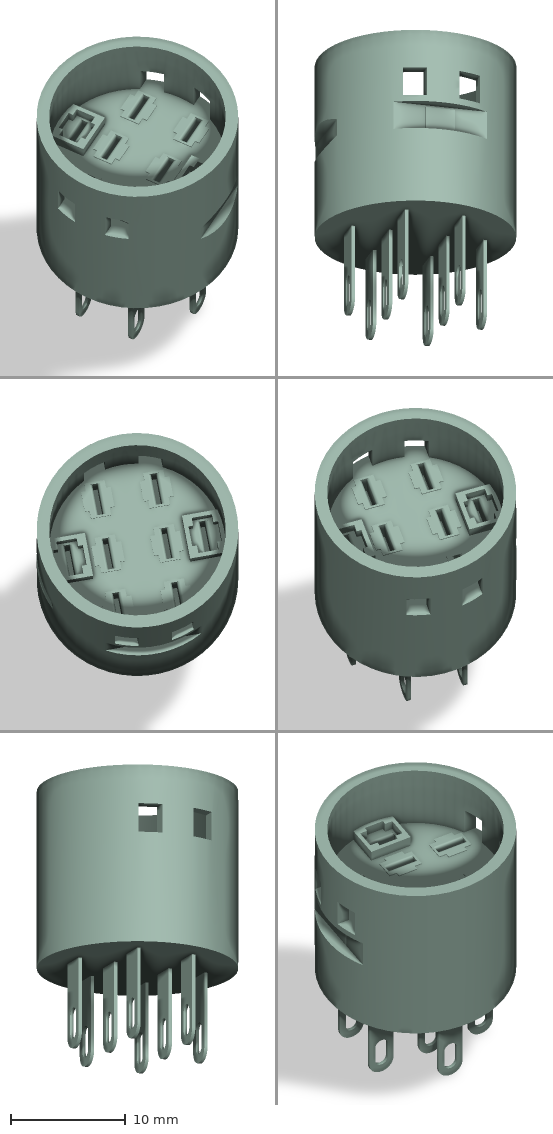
import cadquery as cq
import math


outer_diameter = 17.6
bore_diameter = 15.4
total_height = 23.9
pin_length = 7.89
bore_depth = 6.1
floor_z = total_height - bore_depth
housing_mid_z = (pin_length + total_height) / 2
outer_radius = outer_diameter / 2
bore_radius = bore_diameter / 2

window_width = 2.0
window_height = 2.58
window_offset = 2.49

back_notch_height = 2.53
back_pad_width = 2.63
back_pad_height = 2.2
back_pad_thickness = 0.1
side_notch_depth = 0.67
side_notch_floor_height = 1.5
back_notch_rise = 0.07
side_notch_rise = 0.17
back_notch_z = housing_mid_z + back_notch_rise
side_notch_z = housing_mid_z + side_notch_rise

column_offset = 2.6
row_pitch = 5.0
end_contact_offset = 6.0
floor_contacts = [(side * column_offset, row * row_pitch) for side in (-1, 1) for row in (-1, 0, 1)]
end_contacts = [(side * end_contact_offset, 0) for side in (-1, 1)]
contacts = floor_contacts + end_contacts

head_width = 2.63
head_length = 3.23
head_arm_length = 1.82
head_core_width = 1.8
head_height = 0.1

slot_width = 0.48
slot_length = 2.82
slot_depth = 2.0
lip_radius = 0.25

box_inner_x = 4.3
box_length = 3.95
box_height = 1.0

pin_width = 2.4
pin_thickness = 0.3
eye_width = 1.22
eye_length = 2.82
eye_bottom_z = 0.81


def box_between(x_range, y_range, z_range):
    """Axis-aligned box spanning the given ranges."""
    (x0, x1), (y0, y1), (z0, z1) = x_range, y_range, z_range
    return cq.Workplane("XY").box(x1 - x0, y1 - y0, z1 - z0, centered=False).translate((x0, y0, z0))


def cylinder(diameter, bottom_z, height):
    """Upright cylinder on the housing axis."""
    return cq.Workplane("XY").workplane(offset=bottom_z).circle(diameter / 2).extrude(height)


def housing():
    """Cup with a solid base below the floor."""
    cup = cylinder(outer_diameter, pin_length, total_height - pin_length)
    return cup.cut(cylinder(bore_diameter, floor_z, bore_depth))


def windows():
    """Two bars along Y that open a pair of windows in each wall."""
    bars = cq.Workplane("XY").workplane(offset=floor_z)
    bars = bars.pushPoints([(-window_offset, 0), (window_offset, 0)])
    return bars.rect(window_width, outer_diameter).extrude(window_height)


def back_notch():
    """Square-sided notch on +Y, reaching in to the bore radius."""
    half_height = back_notch_height / 2
    return box_between(
        (-outer_radius, outer_radius),
        (bore_radius, outer_radius),
        (back_notch_z - half_height, back_notch_z + half_height),
    )


def back_pad():
    """Thin raised pad on the floor of the back notch."""
    half_width = back_pad_width / 2
    half_height = back_pad_height / 2
    return box_between(
        (-half_width, half_width),
        (bore_radius, bore_radius + back_pad_thickness),
        (back_notch_z - half_height, back_notch_z + half_height),
    )


def side_notch():
    """Notch on +X with 45-degree flanks and a flat floor, running along Y."""
    floor_half = side_notch_floor_height / 2
    mouth_half = floor_half + side_notch_depth
    floor_x = outer_radius - side_notch_depth
    outline = [
        (floor_x, side_notch_z - floor_half),
        (outer_radius, side_notch_z - mouth_half),
        (outer_radius, side_notch_z + mouth_half),
        (floor_x, side_notch_z + floor_half),
    ]
    return cq.Workplane("XZ").polyline(outline).close().extrude(outer_radius, both=True)


def cross_prism(center, height):
    """Cross-shaped block standing on the floor."""
    plane = cq.Workplane("XY").workplane(offset=floor_z).center(*center)
    bar = plane.rect(head_width, head_arm_length).extrude(height)
    return bar.union(plane.rect(head_core_width, head_length).extrude(height))


def end_boxes():
    """Raised boxes reaching to the bore wall, with cross-shaped openings."""
    bars = box_between(
        (-bore_radius, bore_radius),
        (-box_length / 2, box_length / 2),
        (floor_z, floor_z + box_height),
    )
    gap = box_between(
        (-box_inner_x, box_inner_x),
        (-box_length / 2, box_length / 2),
        (floor_z, floor_z + box_height),
    )
    boxes = bars.cut(gap).intersect(cylinder(bore_diameter, floor_z, box_height))
    for center in end_contacts:
        boxes = boxes.cut(cross_prism(center, box_height))
    return boxes


def mating_slot(center):
    """Slot with its mouth flared by a quarter-round lip on each side."""
    half = slot_width / 2
    top_z = floor_z + head_height
    lip_z = top_z - lip_radius
    lip_mid = lip_radius * (1 - math.cos(math.pi / 4))
    profile = (
        cq.Workplane("XZ")
        .moveTo(-half, top_z - slot_depth)
        .lineTo(half, top_z - slot_depth)
        .lineTo(half, lip_z)
        .threePointArc((half + lip_mid, top_z - lip_mid), (half + lip_radius, top_z))
        .lineTo(-half - lip_radius, top_z)
        .threePointArc((-half - lip_mid, top_z - lip_mid), (-half, lip_z))
        .close()
    )
    return profile.extrude(slot_length / 2, both=True).translate((*center, 0))


def solder_pin(center):
    """Flat pin with a round tip and an elongated solder eye."""
    half = pin_width / 2
    blade = (
        cq.Workplane("YZ")
        .moveTo(-half, pin_length)
        .lineTo(-half, half)
        .threePointArc((0, 0), (half, half))
        .lineTo(half, pin_length)
        .close()
        .extrude(pin_thickness / 2, both=True)
    )
    eye = (
        cq.Workplane("YZ")
        .center(0, eye_bottom_z + eye_length / 2)
        .slot2D(eye_length, eye_width, 90)
        .extrude(pin_thickness, both=True)
    )
    return blade.cut(eye).translate((*center, 0))


result = housing().cut(windows()).cut(back_notch()).cut(side_notch())
result = result.union(back_pad()).union(end_boxes())
for contact in contacts:
    result = result.union(cross_prism(contact, head_height))
    result = result.cut(mating_slot(contact))
    result = result.union(solder_pin(contact))